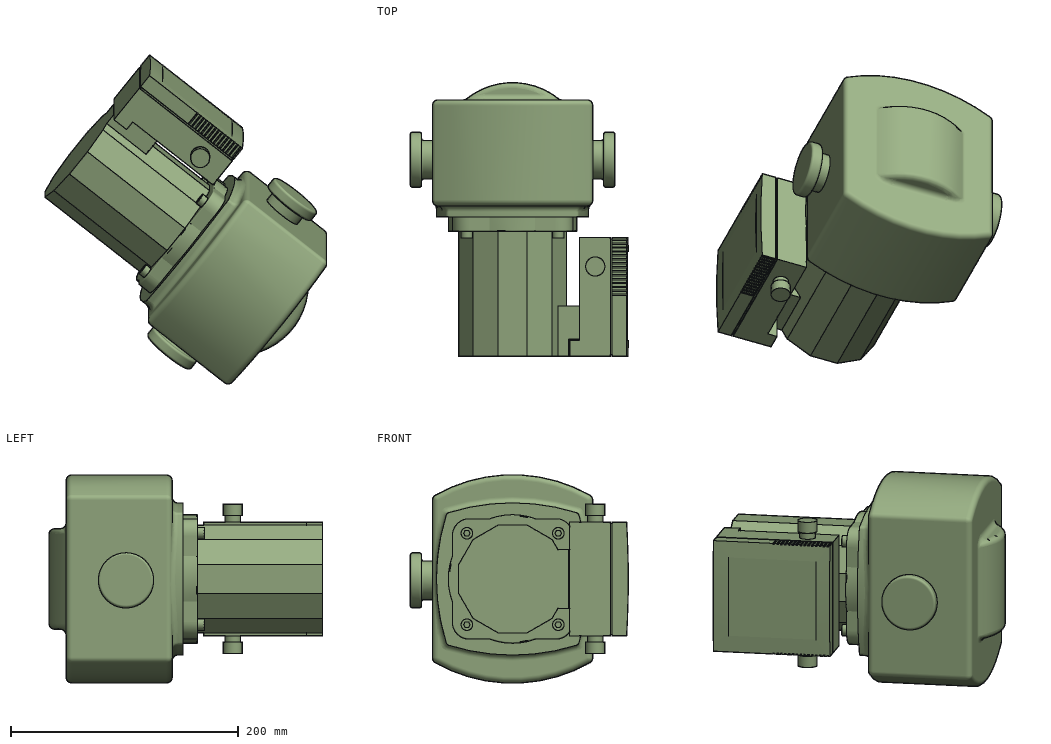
import cadquery as cq
import math


shell_half_width = 70.5
shell_half_height = 91.6
shell_corner_height = 72.2
shell_back_y = 52.7
shell_front_y = -40.6
round_radius = 5.0
edge_margin = 1.2

bulge_half_width = 41.4
bulge_half_height = 44.3
bulge_back_y = 67.8

boss_half_size = 66.9
boss_corner = 57.7
boss_height = 9.6
boss_corner_radius = 3.5
boss_front_y = shell_front_y - boss_height

pipe_half_length = 90.0
pipe_drop = 1.2
pipe_radius = 17.0
collar_radius = 24.3
collar_width = 10.0
collar_edge_radius = 2.2
collar_root_radius = 1.7

motor_end_y = bulge_back_y - 240.5
motor_across_flats = 94.8
motor_sides = 12

flange_size = 105.8
flange_corner_radius = 15.0
flange_disc_radius = 56.5
flange_thickness = 12.7
flange_edge_radius = 1.0
flange_front_y = boss_front_y - flange_thickness

neck_half_height = 25.7
neck_length = 44.3
neck_notch_length = 15.0
neck_notch_x = 49.3

screw_offset = 40.2
screw_head_radius = 5.0
screw_head_height = 5.8
socket_across_flats = 5.0
socket_depth = 3.0

box_inner_x = 58.7
box_outer_x = 85.9
box_half_height = 50.0
box_back_y = -68.3
foot_clearance = 0.7

seam_width = 1.7
seam_depth = 1.2
lid_inner_x = box_outer_x + seam_width
lid_edge_x = 100.3
lid_crown_x = 101.7
lid_recess_x = 101.0
lid_recess_back_y = -80.5
lid_recess_front_y = -158.7

fin_slot_count = 15
fin_slot_pitch = 3.46
fin_slot_width = 1.2
fin_slot_depth = 1.0
fin_first_slot_y = -70.2

gland_x = 72.6
gland_y = -93.8
gland_stem_radius = 7.0
gland_head_radius = 8.5
gland_head_start = 55.5
gland_head_end = 65.7


def block(x_range, y_range, z_range):
    """Rectangular block between pairs of coordinates, given in either order."""
    lengths = [abs(b - a) for a, b in (x_range, y_range, z_range)]
    middle = tuple((a + b) / 2 for a, b in (x_range, y_range, z_range))
    return cq.Workplane("XY").box(*lengths).translate(middle)


def front_sketch(y):
    """Workplane facing -Y at the given Y, with local axes X and Z."""
    return cq.Workplane("XZ", origin=(0, y, 0))


def make_shell():
    """Flat-sided block with arched top and bottom and all edges rounded."""
    return (
        front_sketch(shell_back_y)
        .moveTo(-shell_half_width, -shell_corner_height)
        .lineTo(-shell_half_width, shell_corner_height)
        .threePointArc((0, shell_half_height), (shell_half_width, shell_corner_height))
        .lineTo(shell_half_width, -shell_corner_height)
        .threePointArc((0, -shell_half_height), (-shell_half_width, -shell_corner_height))
        .close()
        .extrude(shell_back_y - shell_front_y)
        .edges()
        .fillet(round_radius)
    )


def add_bulge(shell):
    """Add the arched bulge on the back, with rounded rims and roots at its top and bottom."""
    bulge = (
        cq.Workplane("XY", origin=(0, 0, -bulge_half_height))
        .moveTo(-bulge_half_width, shell_back_y)
        .threePointArc((0, bulge_back_y), (bulge_half_width, shell_back_y))
        .close()
        .extrude(2 * bulge_half_height)
        .edges("%CIRCLE")
        .fillet(round_radius)
    )
    reach = bulge_half_width + edge_margin
    roots = cq.selectors.BoxSelector(
        (-reach, shell_back_y - edge_margin, -reach - round_radius),
        (reach, shell_back_y + edge_margin, reach + round_radius),
    )
    return shell.union(bulge).edges(roots).edges("|X").fillet(round_radius)


def add_boss(shell):
    """Add the square front boss with four bowed sides and a rounded root."""
    corner = boss_corner
    size = boss_half_size
    boss = (
        front_sketch(shell_front_y + round_radius)
        .moveTo(-corner, -corner)
        .threePointArc((-size, 0), (-corner, corner))
        .threePointArc((0, size), (corner, corner))
        .threePointArc((size, 0), (corner, -corner))
        .threePointArc((0, -size), (-corner, -corner))
        .close()
        .extrude(boss_height + round_radius)
        .edges("|Y")
        .fillet(boss_corner_radius)
    )
    reach = boss_half_size + edge_margin
    root = cq.selectors.BoxSelector(
        (-reach, shell_front_y - edge_margin, -reach),
        (reach, shell_front_y + edge_margin, reach),
    )
    return shell.union(boss).edges(root).edges("%CIRCLE or %BSPLINE").fillet(round_radius)


def make_pipe():
    """Straight pipe through the housing with a rounded collar at each end."""
    def cylinder(radius, start_x, length):
        return cq.Workplane("YZ", origin=(start_x, 0, -pipe_drop)).circle(radius).extrude(length)

    pipe = cylinder(pipe_radius, -pipe_half_length, 2 * pipe_half_length)
    collar_start = pipe_half_length - collar_width
    for start_x in (-pipe_half_length, collar_start):
        collar = cylinder(collar_radius, start_x, collar_width).edges().fillet(collar_edge_radius)
        pipe = pipe.union(collar)
    for root_x in (-collar_start, collar_start):
        root = cq.selectors.BoxSelector(
            (root_x - edge_margin, -pipe_radius, -pipe_radius - pipe_drop),
            (root_x + edge_margin, pipe_radius, pipe_radius - pipe_drop),
        )
        pipe = pipe.edges(root).edges("%CIRCLE").fillet(collar_root_radius)
    return pipe


def make_housing():
    shell = add_boss(add_bulge(make_shell()))
    return shell.union(make_pipe())


def make_flange():
    """Rounded square plate merged with a disc that swells past the middle of each side."""
    square = (
        front_sketch(boss_front_y)
        .rect(flange_size, flange_size)
        .extrude(flange_thickness)
        .edges("|Y")
        .fillet(flange_corner_radius)
    )
    disc = front_sketch(boss_front_y).circle(flange_disc_radius).extrude(flange_thickness)
    return square.union(disc).faces("<Y").edges().fillet(flange_edge_radius)


def make_neck():
    """Arm from the motor to the control box, notched at its front for the box foot."""
    back_y = motor_end_y + neck_length
    notch_back_y = motor_end_y + neck_notch_length
    z_range = (-neck_half_height, neck_half_height)
    arm = block((0, box_inner_x), (motor_end_y, back_y), z_range)
    notch = block((neck_notch_x, box_inner_x), (motor_end_y, notch_back_y), z_range)
    return arm.cut(notch)


def make_motor():
    """Mounting flange, twelve-sided casing with flats square to the axes, and neck."""
    corner_diameter = motor_across_flats / math.cos(math.pi / motor_sides)
    casing = (
        front_sketch(flange_front_y)
        .transformed(rotate=(0, 0, 180 / motor_sides))
        .polygon(motor_sides, corner_diameter)
        .extrude(flange_front_y - motor_end_y)
    )
    return make_flange().union(casing).union(make_neck())


def make_screw(x, z):
    """Cap screw head with a hexagon socket, resting on the flange."""
    head_front_y = flange_front_y - screw_head_height
    socket_diameter = socket_across_flats / math.cos(math.pi / 6)
    head = cq.Workplane("XZ", origin=(x, flange_front_y, z)).circle(screw_head_radius)
    socket = cq.Workplane("XZ", origin=(x, head_front_y + socket_depth, z)).polygon(6, socket_diameter)
    return head.extrude(screw_head_height).cut(socket.extrude(socket_depth))


def make_lid():
    """Lid with a slightly crowned outer face, a shallow front panel recess and fin slots."""
    lid = (
        cq.Workplane("XZ", origin=(0, box_back_y, 0))
        .moveTo(lid_inner_x, -box_half_height)
        .lineTo(lid_edge_x, -box_half_height)
        .threePointArc((lid_crown_x, 0), (lid_edge_x, box_half_height))
        .lineTo(lid_inner_x, box_half_height)
        .close()
        .extrude(box_back_y - motor_end_y)
    )
    panel_recess = block(
        (lid_recess_x, lid_crown_x),
        (lid_recess_back_y, lid_recess_front_y),
        (-box_half_height, box_half_height),
    )
    lid = lid.cut(panel_recess)
    slot_floor_z = box_half_height - fin_slot_depth
    for i in range(fin_slot_count):
        slot_y = fin_first_slot_y - i * fin_slot_pitch
        y_range = (slot_y - fin_slot_width / 2, slot_y + fin_slot_width / 2)
        for side in (-1, 1):
            z_range = (side * slot_floor_z, side * box_half_height)
            lid = lid.cut(block((lid_inner_x, lid_crown_x), y_range, z_range))
    return lid


def make_gland(side):
    """Stepped cable gland on the top (side=1) or bottom (side=-1) of the box."""
    def cylinder(radius, start, end):
        base = cq.Workplane("XY", origin=(gland_x, gland_y, side * start))
        return base.circle(radius).extrude(side * (end - start))

    stem = cylinder(gland_stem_radius, box_half_height, gland_head_start)
    return stem.union(cylinder(gland_head_radius, gland_head_start, gland_head_end))


def make_control_box():
    """Box with a foot hooked under the motor neck, a lid set off by a seam, and two glands."""
    y_range = (motor_end_y, box_back_y)
    z_range = (-box_half_height, box_half_height)
    box = block((box_inner_x, box_outer_x), y_range, z_range)

    foot_x = neck_notch_x + foot_clearance
    foot_back_y = motor_end_y + neck_notch_length - foot_clearance
    box = box.union(block((foot_x, box_inner_x), (motor_end_y, foot_back_y), z_range))

    seam_core = block(
        (box_outer_x, lid_inner_x),
        (motor_end_y + seam_depth, box_back_y - seam_depth),
        (-box_half_height + seam_depth, box_half_height - seam_depth),
    )
    box = box.union(seam_core).union(make_lid())
    for side in (-1, 1):
        box = box.union(make_gland(side))
    return box


housing = make_housing()
motor = make_motor()
control_box = make_control_box()
screws = [
    make_screw(x, z)
    for x in (-screw_offset, screw_offset)
    for z in (-screw_offset, screw_offset)
]

result = cq.Compound.makeCompound(
    [housing.val(), motor.val(), control_box.val(), *[screw.val() for screw in screws]]
)